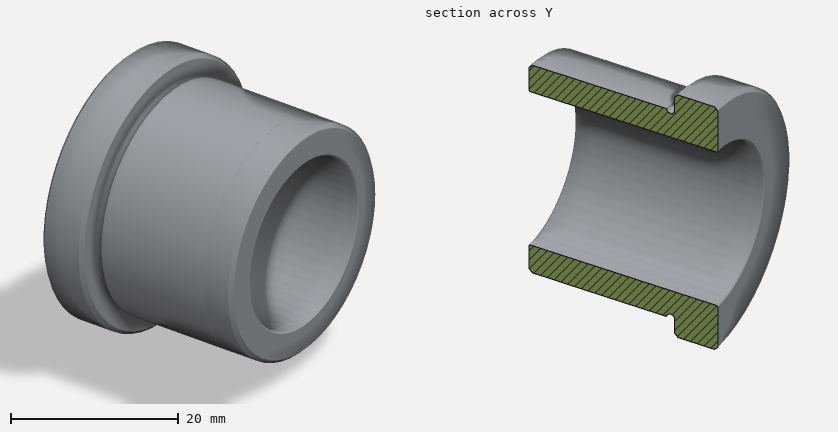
import cadquery as cq

total_length = 26.0
flange_diameter = 35.0
flange_thickness = 6.0
body_diameter = 30.0
bore_diameter = 22.0
outer_chamfer = 0.5
bore_chamfer = 0.18

groove_radius = 0.52

lead_length = 4.0
lead_reduction = 0.018

flange_radius = flange_diameter / 2
body_radius = body_diameter / 2
bore_radius = bore_diameter / 2
groove_center = flange_thickness + groove_radius
lead_start = total_length - lead_length
lead_radius = body_radius - lead_reduction


def cylinder(start, end, radius):
    """Solid cylinder on the X axis between two X positions."""
    return cq.Workplane("YZ", origin=(start, 0, 0)).circle(radius).extrude(end - start)


def make_flange():
    return cylinder(0, flange_thickness, flange_radius).edges().chamfer(outer_chamfer)


def make_body():
    main = cylinder(0, lead_start, body_radius)
    lead = cylinder(lead_start, total_length, lead_radius).faces(">X").edges().chamfer(outer_chamfer)
    return main.union(lead)


def make_groove():
    """Half-round ring, cut into the body beside the flange."""
    return (
        cq.Workplane("XY")
        .moveTo(flange_thickness, body_radius)
        .threePointArc(
            (groove_center, body_radius - groove_radius),
            (groove_center + groove_radius, body_radius),
        )
        .close()
        .revolve(360, (0, 0, 0), (1, 0, 0))
    )


def make_bore():
    """Through bore, widened by a small chamfer at both mouths."""
    mouth_radius = bore_radius + bore_chamfer
    profile = [
        (0, 0),
        (0, mouth_radius),
        (bore_chamfer, bore_radius),
        (total_length - bore_chamfer, bore_radius),
        (total_length, mouth_radius),
        (total_length, 0),
    ]
    return cq.Workplane("XY").polyline(profile).close().revolve(360, (0, 0, 0), (1, 0, 0))


result = make_flange().union(make_body()).cut(make_groove()).cut(make_bore())

result = result.translate((-total_length / 2, 0, 0))